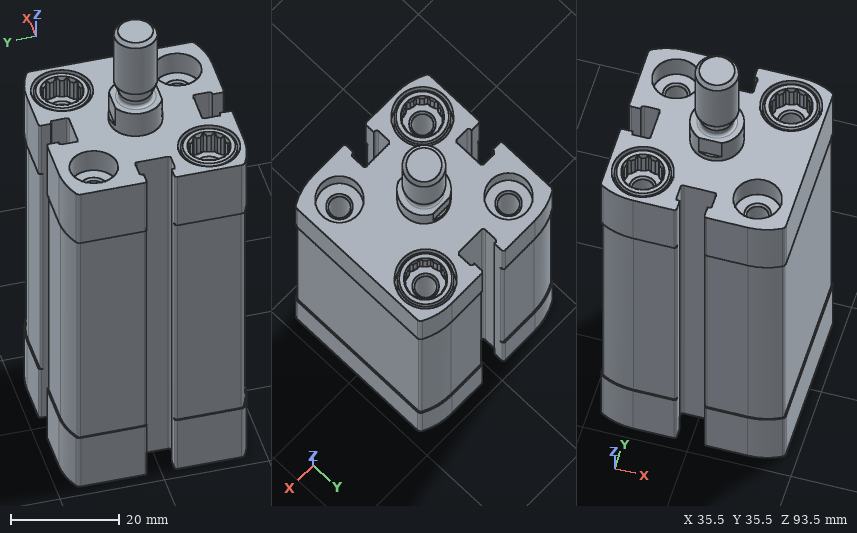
import cadquery as cq
import math


cap_width = 35.5
tube_inset = 0.3
housing_height = 72.0
cap_height = 12.0
hole_offset = 11.0
side_arc_radius = 13.1
side_flat_half = hole_offset
corner_fillet = 0.9

slot_mouth_width = 5.3
slot_inner_width = 6.8
slot_depth = 5.9
slot_lip = 2.3
slot_fillet = 0.5
slot_mouth_fillet = 0.5
slot_angles = (-90, 90, 180)

through_diameter = 4.1
through_mouth_diameter = 5.0
counterbore_diameter = 9.0
counterbore_depth = 4.8

recess_diameter = 11.5
sleeve_diameter = 10.5
sleeve_chamfer = 0.4
spline_tip_radius = 4.0
spline_land_radius = 3.7
spline_hexagons = 2
spline_mouth_depth = 0.8

rod_diameter = 10.0
rod_top = 93.5
shoulder_height = 5.5
flat_distance = 9.0
flat_start = 1.2
thread_diameter = 8.0
neck_diameter = 6.2
neck_fillet = 0.7
neck_top = 1.4
thread_start = 3.9
tip_chamfer = 0.75
guide_depth = cap_height


def section_prism(inset, bottom, height):
    """Prism with flat sides that sweep into rounded corners, moved inwards by an inset."""
    half = cap_width / 2 - inset
    radius = side_arc_radius - inset
    arc_rise = math.sqrt(radius**2 - (half - side_flat_half) ** 2)
    corner_y = half - radius + arc_rise
    mid_angle = math.atan2(arc_rise, half - side_flat_half) / 2 + math.pi / 4
    mid_x = side_flat_half + radius * math.cos(mid_angle)
    mid_y = half - radius + radius * math.sin(mid_angle)
    return (
        cq.Workplane("XY", origin=(0, 0, bottom))
        .moveTo(-side_flat_half, half)
        .lineTo(side_flat_half, half)
        .threePointArc((mid_x, mid_y), (half, corner_y))
        .lineTo(half, -corner_y)
        .threePointArc((mid_x, -mid_y), (side_flat_half, -half))
        .lineTo(-side_flat_half, -half)
        .threePointArc((-mid_x, -mid_y), (-half, -corner_y))
        .lineTo(-half, corner_y)
        .threePointArc((-mid_x, mid_y), (-side_flat_half, half))
        .close()
        .extrude(height)
        .edges("|Z and (<X or >X)")
        .fillet(corner_fillet - inset)
    )


def t_slot(angle, inset, bottom, height):
    """T-slot cutter with a rounded mouth at the inset side; at angle 0 it opens towards +X."""
    outer = cap_width / 2 - inset
    floor = cap_width / 2 - slot_depth
    half_mouth = slot_mouth_width / 2
    flare = half_mouth + slot_mouth_fillet
    throat = outer - slot_mouth_fillet
    arc_reach = slot_mouth_fillet * math.sqrt(0.5)
    mouth = (
        cq.Workplane("XY")
        .moveTo(floor, -half_mouth)
        .lineTo(throat, -half_mouth)
        .threePointArc((throat + arc_reach, arc_reach - flare), (outer, -flare))
        .lineTo(outer, flare)
        .threePointArc((throat + arc_reach, flare - arc_reach), (throat, half_mouth))
        .lineTo(floor, half_mouth)
        .close()
        .extrude(height)
    )
    undercut = (
        cq.Workplane("XY", origin=(floor, 0, 0))
        .box(slot_depth - slot_lip, slot_inner_width, height, centered=(False, True, False))
        .edges("|Z")
        .fillet(slot_fillet)
    )
    return mouth.union(undercut).rotate((0, 0, 0), (0, 0, 1), angle).translate((0, 0, bottom))


def slotted_section(inset, bottom, height):
    """Length of housing with all its T-slots; the slot floors stay level whatever the inset."""
    section = section_prism(inset, bottom, height)
    for angle in slot_angles:
        section = section.cut(t_slot(angle, inset, bottom, height))
    return section


def bore(diameter, depth):
    """Cylinder on the Z axis from the housing top downwards."""
    return cq.Workplane("XY", origin=(0, 0, housing_height)).circle(diameter / 2).extrude(-depth)


def cone_down(top_diameter, bottom_diameter, top_z, depth):
    """Truncated cone on the Z axis that narrows downwards from top_z."""
    cone = cq.Solid.makeCone(
        top_diameter / 2,
        bottom_diameter / 2,
        depth,
        pnt=cq.Vector(0, 0, top_z),
        dir=cq.Vector(0, 0, -1),
    )
    return cq.Workplane("XY").add(cone)


def through_hole():
    """Through hole with a conical mouth at the counterbore floor."""
    mouth_depth = (through_mouth_diameter - through_diameter) / 2
    mouth = cone_down(
        through_mouth_diameter, through_diameter, housing_height - counterbore_depth, mouth_depth
    )
    return bore(through_diameter, housing_height).union(mouth)


def plain_hole():
    """Counterbored through hole."""
    return through_hole().union(bore(counterbore_diameter, counterbore_depth))


def splined_hole():
    """Ring groove that leaves a chamfered sleeve, with a twelve-point socket inside it."""
    sleeve = bore(sleeve_diameter, counterbore_depth).faces(">Z").chamfer(sleeve_chamfer)
    ring = bore(recess_diameter, counterbore_depth).cut(sleeve)
    socket = bore(2 * spline_land_radius, counterbore_depth)
    for index in range(spline_hexagons):
        hexagon = (
            cq.Workplane("XY", origin=(0, 0, housing_height))
            .transformed(rotate=(0, 0, index * 60 / spline_hexagons))
            .polygon(6, 2 * spline_tip_radius)
            .extrude(-counterbore_depth)
        )
        socket = socket.union(hexagon)
    mouth = cone_down(
        2 * spline_tip_radius, 2 * spline_land_radius, housing_height, spline_mouth_depth
    )
    return through_hole().union(socket).union(mouth).union(ring)


def make_housing():
    """Two end caps and the tube between them, with the corner holes and the rod guide bore."""
    tube_height = housing_height - 2 * cap_height
    body = slotted_section(0, 0, cap_height)
    body = body.union(slotted_section(tube_inset, cap_height, tube_height))
    body = body.union(slotted_section(0, housing_height - cap_height, cap_height))
    for side_x in (-1, 1):
        for side_y in (-1, 1):
            cutter = splined_hole() if side_x == side_y else plain_hole()
            body = body.cut(cutter.translate((side_x * hole_offset, side_y * hole_offset, 0)))
    return body.cut(bore(rod_diameter, guide_depth))


def flat_cutters():
    """Two boxes that leave parallel wrench flats on the +Y and -Y sides of the shoulder."""
    height = shoulder_height - flat_start
    centre_y = (flat_distance + rod_diameter) / 2
    return (
        cq.Workplane("XY", origin=(0, 0, housing_height + flat_start))
        .pushPoints([(0, -centre_y), (0, centre_y)])
        .box(rod_diameter, rod_diameter, height, centered=(True, True, False))
    )


def make_rod():
    """Turned rod with a relieved thread and two wrench flats."""
    shoulder = housing_height + shoulder_height
    rod_radius = rod_diameter / 2
    thread_radius = thread_diameter / 2
    neck_radius = neck_diameter / 2
    fillet_reach = neck_fillet * (1 - math.sqrt(0.5))
    rod = (
        cq.Workplane("XZ")
        .moveTo(0, housing_height - guide_depth)
        .lineTo(rod_radius, housing_height - guide_depth)
        .lineTo(rod_radius, shoulder)
        .lineTo(neck_radius + neck_fillet, shoulder)
        .threePointArc(
            (neck_radius + fillet_reach, shoulder + fillet_reach),
            (neck_radius, shoulder + neck_fillet),
        )
        .lineTo(neck_radius, shoulder + neck_top)
        .lineTo(thread_radius, shoulder + thread_start)
        .lineTo(thread_radius, rod_top - tip_chamfer)
        .lineTo(thread_radius - tip_chamfer, rod_top)
        .lineTo(0, rod_top)
        .close()
        .revolve(360, (0, 0, 0), (0, 1, 0))
    )
    return rod.cut(flat_cutters())


housing = make_housing()
rod = make_rod()
result = cq.Compound.makeCompound([housing.val(), rod.val()])